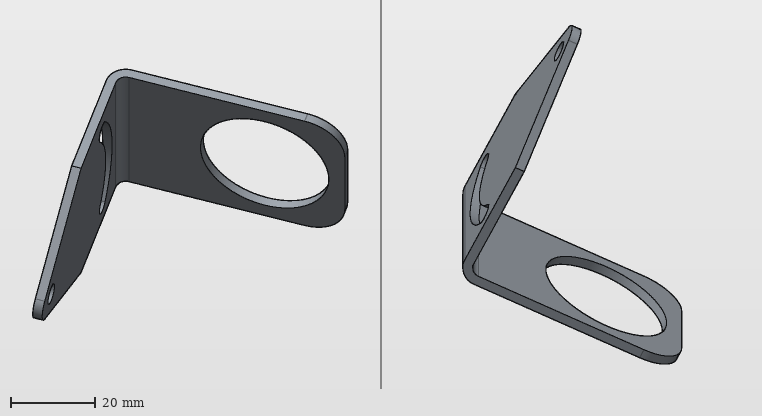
import cadquery as cq
import math

length_x = 58.7
length_y = 62.6
height = 40.0
thickness = 2.4

bend_inner_radius = 2.5
bend_outer_radius = bend_inner_radius + thickness

plate_corner_radius = 10.0
opening_diameter = 32.0
opening_x = length_x - height / 2

taper_start_y = 30.55
taper_angle = math.radians(30)
tip_radius = 4.0
pivot_diameter = 5.0
pivot_y = 7.15
slot_width = 5.0
slot_radius = 21.65
slot_middle_y = 52.4
slot_end_height = 13.8
slot_center_z = -0.25


def bent_sheet():
    """L-shaped strip with concentric bend arcs, extruded over the full height."""
    diagonal = math.sqrt(0.5)
    bend_x = bend_outer_radius
    bend_y = length_y - bend_outer_radius
    outer_middle = (bend_x - bend_outer_radius * diagonal, bend_y + bend_outer_radius * diagonal)
    inner_middle = (bend_x - bend_inner_radius * diagonal, bend_y + bend_inner_radius * diagonal)
    return (
        cq.Workplane("XY")
        .workplane(offset=-height / 2)
        .moveTo(0, 0)
        .lineTo(0, bend_y)
        .threePointArc(outer_middle, (bend_x, length_y))
        .lineTo(length_x, length_y)
        .lineTo(length_x, length_y - thickness)
        .lineTo(bend_x, length_y - thickness)
        .threePointArc(inner_middle, (thickness, bend_y))
        .lineTo(thickness, 0)
        .close()
        .extrude(height)
    )


def tapered_outline():
    """Full-height blank whose -Y end tapers to a rounded tip."""
    half_height = height / 2
    tangent_y = tip_radius * (1 - math.sin(taper_angle))
    tangent_z = tip_radius * math.cos(taper_angle)
    return (
        cq.Workplane("YZ")
        .moveTo(length_y, -half_height)
        .lineTo(taper_start_y, -half_height)
        .lineTo(tangent_y, -tangent_z)
        .threePointArc((0, 0), (tangent_y, tangent_z))
        .lineTo(taper_start_y, half_height)
        .lineTo(length_y, half_height)
        .close()
        .extrude(length_x)
    )


def curved_slot():
    """Circular-arc slot with round ends, through the tapered plate."""
    center_y = slot_middle_y - slot_radius
    half_sweep = math.asin(slot_end_height / slot_radius)
    inner_radius = slot_radius - slot_width / 2
    outer_radius = slot_radius + slot_width / 2

    def on_arc(radius, angle):
        return (center_y + radius * math.cos(angle), slot_center_z + radius * math.sin(angle))

    def end_cap_middle(side):
        end_y, end_z = on_arc(slot_radius, side * half_sweep)
        cap_radius = slot_width / 2
        return (
            end_y - cap_radius * math.sin(half_sweep),
            end_z + side * cap_radius * math.cos(half_sweep),
        )

    return (
        cq.Workplane("YZ")
        .moveTo(*on_arc(outer_radius, -half_sweep))
        .threePointArc(on_arc(outer_radius, 0), on_arc(outer_radius, half_sweep))
        .threePointArc(end_cap_middle(1), on_arc(inner_radius, half_sweep))
        .threePointArc(on_arc(inner_radius, 0), on_arc(inner_radius, -half_sweep))
        .threePointArc(end_cap_middle(-1), on_arc(outer_radius, -half_sweep))
        .close()
        .extrude(thickness)
    )


def pivot_hole():
    return cq.Workplane("YZ").center(pivot_y, 0).circle(pivot_diameter / 2).extrude(thickness)


def round_opening():
    return (
        cq.Workplane("XZ", origin=(opening_x, length_y, 0))
        .circle(opening_diameter / 2)
        .extrude(thickness)
    )


bracket = bent_sheet().intersect(tapered_outline())
bracket = bracket.edges("|Y and >X").fillet(plate_corner_radius)
result = bracket.cut(curved_slot()).cut(pivot_hole()).cut(round_opening())